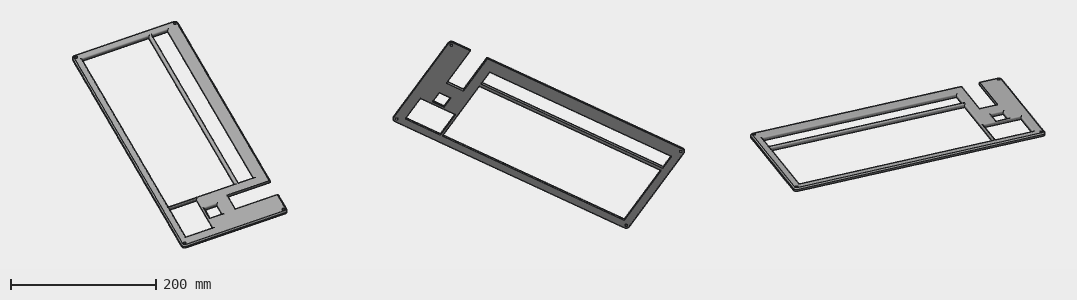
import cadquery as cq

LENGTH = 376.48
WIDTH = 158.99
THICKNESS = 5.0
CORNER_RADIUS = 5.0
RIM_CHAMFER = 2.0

SCREW_DIAMETER = 3.4

WINDOW_ROUND = 2.0
MAIN_LENGTH = 290.4
MAIN_WIDTH = 100.4
STRIP_WIDTH = 23.8
ARROW_LENGTH = 55.9
ARROW_WIDTH = 41.2
SINGLE_SIZE = 18.4

LEFT_MARGIN = 11.7
FRONT_MARGIN = 11.27
BAR_WIDTH = 4.75
WEB_WIDTH = 3.35

NOTCH_LENGTH = 27.2
NOTCH_DEPTH = 65.4
NOTCH_RIGHT_MARGIN = 32.54

MAIN_LEFT = -LENGTH / 2 + LEFT_MARGIN
MAIN_BOTTOM = -WIDTH / 2 + FRONT_MARGIN
MAIN_TOP = MAIN_BOTTOM + MAIN_WIDTH
STRIP_BOTTOM = MAIN_TOP + BAR_WIDTH
ARROW_LEFT = MAIN_LEFT + MAIN_LENGTH + WEB_WIDTH
SINGLE_BOTTOM = MAIN_BOTTOM + ARROW_WIDTH + WEB_WIDTH
NOTCH_RIGHT = LENGTH / 2 - NOTCH_RIGHT_MARGIN
NOTCH_LEFT = NOTCH_RIGHT - NOTCH_LENGTH
NOTCH_BOTTOM = WIDTH / 2 - NOTCH_DEPTH
SINGLE_LEFT = NOTCH_RIGHT - SINGLE_SIZE


def block(left, bottom, length, width):
    """Full-thickness rectangular block placed by its lower left corner."""
    return cq.Workplane("XY").box(length, width, THICKNESS, centered=False).translate((left, bottom, 0))


def flared_profile(plane, start, size):
    """Section of a window: straight walls that roll over into the top face with quarter rounds."""
    end = start + size
    round_base = THICKNESS - WINDOW_ROUND
    return (
        cq.Workplane(plane)
        .moveTo(start, 0)
        .lineTo(end, 0)
        .lineTo(end, round_base)
        .radiusArc((end + WINDOW_ROUND, THICKNESS), WINDOW_ROUND)
        .lineTo(start - WINDOW_ROUND, THICKNESS)
        .radiusArc((start, round_base), WINDOW_ROUND)
        .close()
    )


def window_cutter(left, bottom, length, width):
    """Rectangular through window with mitred corners and rounded-over top edges."""
    across = flared_profile("XZ", left, length).extrude(LENGTH, both=True)
    along = flared_profile("YZ", bottom, width).extrude(LENGTH, both=True)
    return across.intersect(along)


def strip_cutter():
    """Key strip window; its front edge stays square so the bar keeps a flat top."""
    full = window_cutter(MAIN_LEFT, STRIP_BOTTOM, MAIN_LENGTH, STRIP_WIDTH)
    bar = block(MAIN_LEFT - WINDOW_ROUND, MAIN_TOP, MAIN_LENGTH + 2 * WINDOW_ROUND, BAR_WIDTH)
    return full.cut(bar)


def plate():
    """Rounded plate with a chamfered top rim and a screw hole in each corner."""
    return (
        cq.Workplane("XY")
        .box(LENGTH, WIDTH, THICKNESS, centered=(True, True, False))
        .edges("|Z")
        .fillet(CORNER_RADIUS)
        .faces(">Z")
        .chamfer(RIM_CHAMFER)
        .faces("<Z")
        .workplane(centerOption="CenterOfBoundBox")
        .rect(LENGTH - 2 * CORNER_RADIUS, WIDTH - 2 * CORNER_RADIUS, forConstruction=True)
        .vertices()
        .hole(SCREW_DIAMETER)
    )


main_window = window_cutter(MAIN_LEFT, MAIN_BOTTOM, MAIN_LENGTH, MAIN_WIDTH)
arrow_window = window_cutter(ARROW_LEFT, MAIN_BOTTOM, ARROW_LENGTH, ARROW_WIDTH)
single_window = window_cutter(SINGLE_LEFT, SINGLE_BOTTOM, SINGLE_SIZE, SINGLE_SIZE)
notch = block(NOTCH_LEFT, NOTCH_BOTTOM, NOTCH_LENGTH, NOTCH_DEPTH)
result = plate()
for cutter in (main_window, strip_cutter(), arrow_window, single_window, notch):
    result = result.cut(cutter)